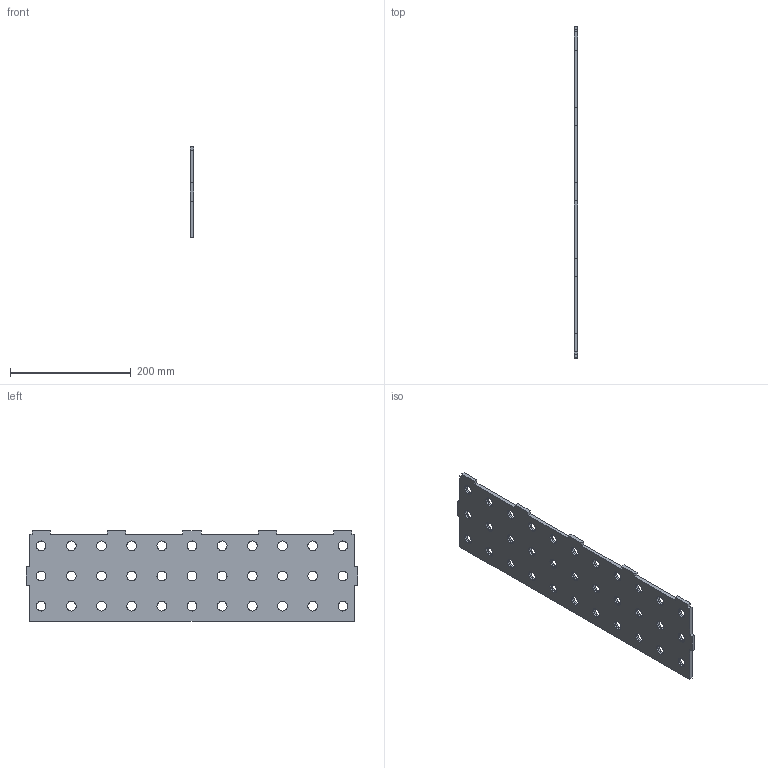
import cadquery as cq

thickness = 6.0
overall_length = 550.0
overall_height = 150.0

tab_depth = thickness
tab_width = 30.0
top_tab_count = 5
top_tab_pitch = 125.0

hole_diameter = 16.0
hole_pitch = 50.0
hole_columns = 11
hole_rows = 3

body_length = overall_length - 2 * tab_depth
body_height = overall_height - tab_depth
bottom_z = -overall_height / 2
body_top_z = bottom_z + body_height


def sheet(length, height, y_center, z_bottom):
    """Rectangular sheet of the panel thickness, centred on X = 0."""
    return (
        cq.Workplane("XY")
        .box(thickness, length, height, centered=(True, True, False))
        .translate((0, y_center, z_bottom))
    )


def add_top_tabs(panel):
    """Row of tabs along the top edge, each rooted in the panel body."""
    for index in range(top_tab_count):
        y_center = (index - (top_tab_count - 1) / 2) * top_tab_pitch
        panel = panel.union(sheet(tab_width, 2 * tab_depth, y_center, body_top_z - tab_depth))
    return panel


def add_end_tabs(panel):
    """One tab at mid height on each end: a single bar spanning the full length."""
    return panel.union(sheet(overall_length, tab_width, 0, -tab_width / 2))


def cut_holes(panel):
    """Grid of holes through the full thickness, centred on the overall outline."""
    holes = (
        cq.Workplane("YZ")
        .rarray(hole_pitch, hole_pitch, hole_columns, hole_rows)
        .circle(hole_diameter / 2)
        .extrude(thickness / 2, both=True)
    )
    return panel.cut(holes)


panel = sheet(body_length, body_height, 0, bottom_z)
panel = add_top_tabs(panel)
panel = add_end_tabs(panel)
result = cut_holes(panel)